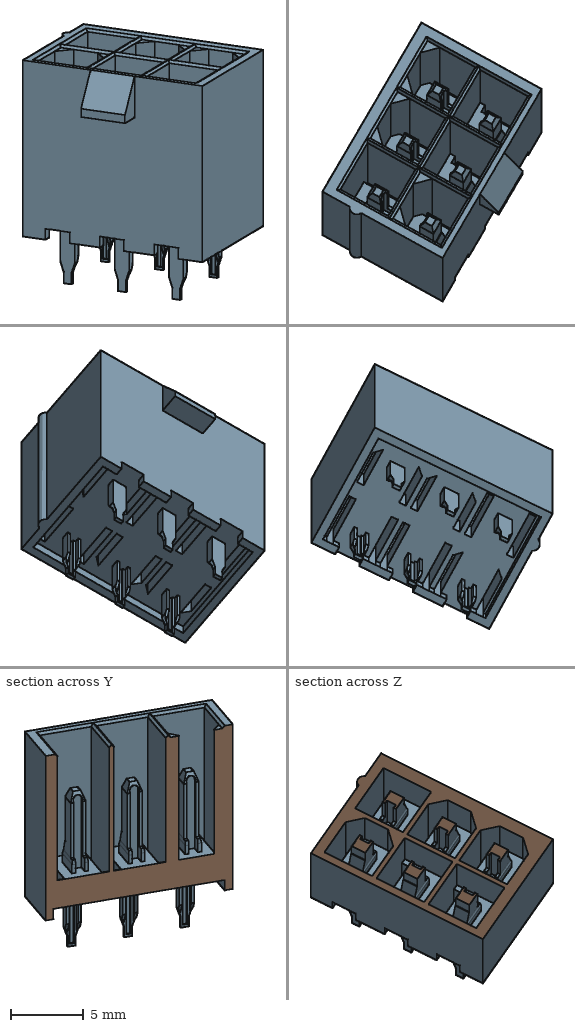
import cadquery as cq


pitch = 4.2
columns = 3
rows = 2
grid_x = columns * pitch
grid_y = rows * pitch

left_wall = 0.6
right_wall = 0.7
front_wall = 0.4
back_wall = 0.8
housing_height = 12.8
housing_left = -grid_x / 2 - left_wall
housing_right = grid_x / 2 + right_wall
housing_middle = (housing_left + housing_right) / 2
housing_front = -grid_y / 2 - front_wall
housing_back = grid_y / 2 + back_wall

cell_floor = 3.0
lead_in_width = 0.19
lead_in_depth = 0.19
cell_size = pitch - 2 * lead_in_width
cell_rim = housing_height - lead_in_depth
key_leg = 0.98
keyed_cells = [(0, 0), (1, 1), (2, 1)]
slot_width = 0.52
slot_length = 3.42

recess_depth = 0.8
recess_wall = 0.6
notch_width = 1.87

latch_width = 3.4
latch_reach = 1.5
latch_height = 3.0
latch_lip = 0.6

rib_radius = 0.5
rib_reach = 0.3
rib_from_back = 2.64
rib_y = housing_back - rib_from_back

contact_width = 1.12
base_width = 1.22
sheet = 0.26
channel_width = 0.68
plate_out = 0.94
leg_out = -0.95
leg_draft = 0.06
base_height = 0.7
leg_taper = 0.3
shoulder_rise = 1.1
base_top = cell_floor + base_height
leg_top = base_top + leg_taper
shoulder_out = 0.59
shoulder_top = base_top + shoulder_rise
post_half = 0.55
post_top = 9.0
tip_half = 0.28
tip_height = 0.75
arch_drop = 0.28
cover_depth = 2 * pitch

tail_length = 3.5
tail_flange = 0.6
tail_tip_width = 0.6
tail_taper_start = -1.93
tail_taper_end = -2.69
flange_taper_start = -1.55
flange_taper_end = -2.3
groove_width = 0.32
groove_depth = 0.14
groove_end = 0.2


def box(x_min, x_max, y_min, y_max, z_min, z_max):
    size = (x_max - x_min, y_max - y_min, z_max - z_min)
    return cq.Workplane("XY").box(*size, centered=False).translate((x_min, y_min, z_min))


def side_profile(points, width):
    """Extrude a (y, z) outline symmetrically along X."""
    return cq.Workplane("YZ").polyline(points).close().extrude(width / 2, both=True)


def front_profile(points, depth):
    """Extrude an (x, z) outline symmetrically along Y."""
    return cq.Workplane("XZ").polyline(points).close().extrude(depth / 2, both=True)


def cell_centre(column, row):
    return ((column - (columns - 1) / 2) * pitch, (row - (rows - 1) / 2) * pitch)


def make_shell():
    shell = box(housing_left, housing_right, housing_front, housing_back, 0, housing_height)
    rib = (
        cq.Workplane("XY")
        .center(housing_left - rib_reach + rib_radius, rib_y)
        .circle(rib_radius)
        .extrude(housing_height)
    )
    latch_front = housing_front - latch_reach
    latch_bottom = housing_height - latch_height
    latch = side_profile(
        [
            (housing_front, housing_height),
            (latch_front, latch_bottom + latch_lip),
            (latch_front, latch_bottom),
            (housing_front, latch_bottom),
        ],
        latch_width,
    )
    return shell.union(rib).union(latch.translate((housing_middle, 0, 0)))


def make_underside():
    """Recess under the floor, with a front notch opposite each contact column."""
    recess = box(
        housing_left + recess_wall,
        housing_right - recess_wall,
        housing_front + recess_wall,
        housing_back - recess_wall,
        0,
        recess_depth,
    )
    for column in range(columns):
        x = cell_centre(column, 0)[0]
        notch = box(
            x - notch_width / 2,
            x + notch_width / 2,
            housing_front,
            housing_front + recess_wall,
            0,
            recess_depth,
        )
        recess = recess.union(notch)
    return recess


def make_cell(keyed):
    """Void of one cell centred on the Z axis, with its lead-in; keyed cells lose two +Y corners."""
    cell = (
        cq.Workplane("XY")
        .workplane(offset=cell_floor)
        .rect(cell_size, cell_size)
        .extrude(cell_rim - cell_floor)
    )
    if keyed:
        cell = cell.edges("|Z and >Y").chamfer(key_leg)
    lead_in = (
        cq.Workplane("XY")
        .workplane(offset=cell_rim)
        .rect(cell_size, cell_size)
        .workplane(offset=lead_in_depth)
        .rect(pitch, pitch)
        .loft(ruled=True)
    )
    return cell.union(lead_in)


def make_floor_slots(keyed, outward):
    """Two slots through the cell floor, starting at the cell wall on the outward side."""
    half = cell_size / 2
    y_ends = sorted([outward * half, outward * (half - slot_length)])
    slots = box(-half, -half + slot_width, *y_ends, 0, cell_floor)
    slots = slots.union(box(half - slot_width, half, *y_ends, 0, cell_floor))
    if keyed:
        clear = cq.Workplane("XY").rect(cell_size, cell_size).extrude(cell_floor)
        slots = slots.intersect(clear.edges("|Z and >Y").chamfer(key_leg))
    return slots


def make_blade():
    """Upright part of a contact: a post with a tapered tip, open towards the middle of the part."""
    tip_base = post_top - tip_height
    blade = side_profile(
        [
            (leg_out, cell_floor),
            (plate_out, cell_floor),
            (plate_out, base_top),
            (shoulder_out, shoulder_top),
            (post_half, shoulder_top),
            (post_half, tip_base),
            (tip_half, post_top),
            (-tip_half, post_top),
            (-post_half, tip_base),
            (-post_half, leg_top),
            (leg_out + leg_draft, leg_top),
            (leg_out, base_top),
        ],
        base_width,
    )
    half = contact_width / 2
    base_half = base_width / 2
    taper = front_profile(
        [
            (-base_half, cell_floor),
            (base_half, cell_floor),
            (base_half, base_top),
            (half, leg_top),
            (half, tip_base),
            (tip_half, post_top),
            (-tip_half, post_top),
            (-half, tip_base),
            (-half, leg_top),
            (-base_half, base_top),
        ],
        cover_depth,
    )
    arch_radius = channel_width / 2
    arch_top = post_top - arch_drop
    arch_spring = arch_top - arch_radius
    channel = (
        cq.Workplane("XZ", origin=(0, -tip_half, 0))
        .moveTo(-arch_radius, cell_floor)
        .lineTo(-arch_radius, arch_spring)
        .threePointArc((0, arch_top), (arch_radius, arch_spring))
        .lineTo(arch_radius, cell_floor)
        .close()
        .extrude(-tip_half - leg_out)
    )
    return blade.intersect(taper).cut(channel)


def make_tail():
    """Solder tail: a grooved plate with two side flanges, all narrowing towards the end."""
    plate_inner = plate_out - sheet
    flange_inner = plate_out - tail_flange
    tail = side_profile(
        [
            (plate_out, cell_floor),
            (plate_out, -tail_length),
            (plate_inner, -tail_length),
            (plate_inner, flange_taper_end),
            (flange_inner, flange_taper_start),
            (flange_inner, cell_floor),
        ],
        contact_width,
    )
    half = contact_width / 2
    tip = tail_tip_width / 2
    taper = front_profile(
        [
            (-half, cell_floor),
            (-half, tail_taper_start),
            (-tip, tail_taper_end),
            (-tip, -tail_length),
            (tip, -tail_length),
            (tip, tail_taper_end),
            (half, tail_taper_start),
            (half, cell_floor),
        ],
        cover_depth,
    )
    channel = box(
        -channel_width / 2,
        channel_width / 2,
        flange_inner,
        plate_inner,
        -tail_length,
        recess_depth,
    )
    groove = box(
        -groove_width / 2,
        groove_width / 2,
        plate_inner,
        plate_inner + groove_depth,
        -tail_length + groove_end,
        recess_depth,
    )
    return tail.intersect(taper).cut(channel).cut(groove)


housing = make_shell().cut(make_underside())
contact = make_blade().union(make_tail())
contacts = []

for row in range(rows):
    outward = 1 if row == rows - 1 else -1
    for column in range(columns):
        x, y = cell_centre(column, row)
        keyed = (column, row) in keyed_cells
        housing = housing.cut(make_cell(keyed).translate((x, y, 0)))
        housing = housing.cut(make_floor_slots(keyed, outward).translate((x, y, 0)))
        facing = contact if outward > 0 else contact.rotate((0, 0, 0), (0, 0, 1), 180)
        contacts.append(facing.translate((x, y, 0)))

result = housing
for placed_contact in contacts:
    result = result.union(placed_contact)